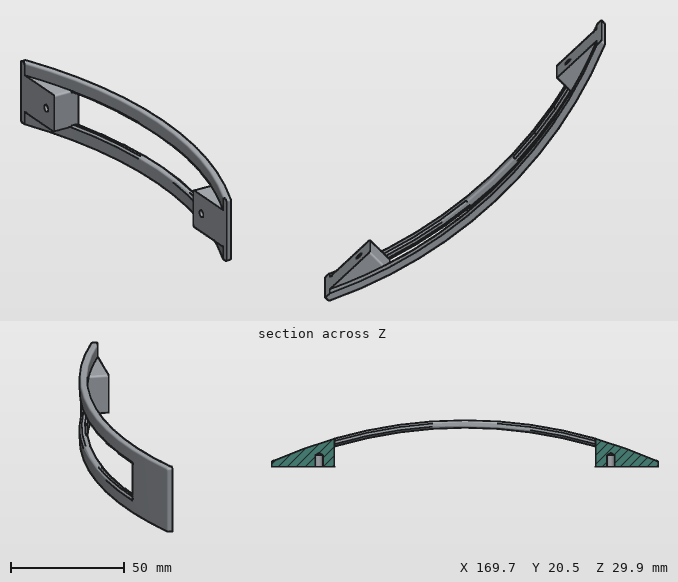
import cadquery as cq
import math

length = 169.7
rise = 20.5
height = 29.9

end_thickness = 2.4
plate_thickness = 3.4
outer_rise = rise - end_thickness
outer_radius = ((length / 2) ** 2 + outer_rise ** 2) / (2 * outer_rise)
inner_radius = outer_radius - plate_thickness
arc_center_y = rise - outer_radius
pad_half_span = math.sqrt(inner_radius ** 2 - arc_center_y ** 2)
edge_radius = 1.0
corner_radius = 1.0
tolerance = 0.02

block_length = 27.7
slot_half_length = length / 2 - block_length
slot_height = 15.8
block_height = slot_height + 2 * edge_radius

hole_spacing = 128.0
hole_diameter = 3.2
hole_depth = 5.1
drill_tip_angle = 118.0

profile_plane = cq.Workplane("XY").workplane(offset=-height / 2)


def make_plate():
    """Bowed plate with flat feet at both ends."""
    return (
        profile_plane
        .moveTo(-length / 2, 0)
        .lineTo(-length / 2, end_thickness)
        .threePointArc((0, rise), (length / 2, end_thickness))
        .lineTo(length / 2, 0)
        .lineTo(pad_half_span, 0)
        .threePointArc((0, rise - plate_thickness), (-pad_half_span, 0))
        .close()
        .extrude(height)
    )


def cut_slot(plate):
    """Open the plate between the blocks, leaving two bars."""
    slot = cq.Workplane("XY").box(2 * slot_half_length, 2 * rise, slot_height)
    return plate.cut(slot)


def round_edges(plate):
    """Round the corners, the outer rim and the inner edges, leaving the lowest inner edge sharp."""
    plate = plate.edges("|Y").edges("<X or >X").fillet(corner_radius)

    def is_rounded(edge):
        center = edge.Center()
        radius = edge.radius() if edge.geomType() == "CIRCLE" else 0
        on_outer_face = abs(radius - outer_radius) < tolerance
        on_inner_face = abs(radius - inner_radius) < tolerance
        return on_outer_face or (on_inner_face and center.z > -height / 2 + tolerance)

    long_edges = plate.edges("%CIRCLE").filter(is_rounded)
    end_edges = plate.edges("|Z").edges(cq.selectors.BoxSelector(
        (-length, end_thickness - tolerance, -height),
        (length, end_thickness + tolerance, height),
    ))
    return plate.newObject(long_edges.vals() + end_edges.vals()).fillet(edge_radius)


def make_block(side):
    """Mounting block under one end, filled up to the inside of the plate."""
    inner_x = side * slot_half_length
    mid_x = side * (slot_half_length + pad_half_span) / 2

    def inside_y(x):
        return arc_center_y + math.sqrt(inner_radius ** 2 - x ** 2)

    return (
        cq.Workplane("XY").workplane(offset=-block_height / 2)
        .moveTo(inner_x, 0)
        .lineTo(side * pad_half_span, 0)
        .threePointArc((mid_x, inside_y(mid_x)), (inner_x, inside_y(inner_x)))
        .close()
        .extrude(block_height)
        .edges("|Y")
        .fillet(edge_radius)
    )


def make_hole(x):
    """Blind drilled hole entering from the mounting face."""
    radius = hole_diameter / 2
    tip_depth = radius / math.tan(math.radians(drill_tip_angle / 2))
    return (
        cq.Workplane("XY")
        .polyline([(x, 0), (x + radius, 0), (x + radius, hole_depth), (x, hole_depth + tip_depth)])
        .close()
        .revolve(360, (x, 0, 0), (x, 1, 0))
    )


result = round_edges(cut_slot(make_plate()))
for side in (-1, 1):
    result = result.union(make_block(side))
for side in (-1, 1):
    result = result.cut(make_hole(side * hole_spacing / 2))